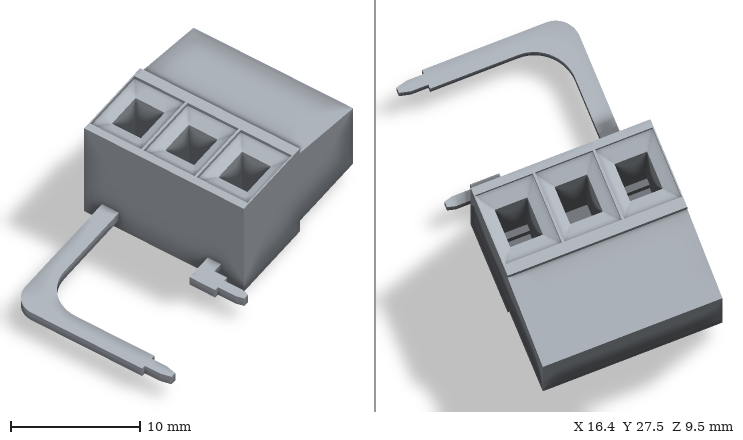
import cadquery as cq

housing_width = 15.0
housing_depth = 15.0
housing_height = 9.5
front_block_depth = 7.67
rear_underside = 1.2
rear_top_at_step = 8.96
rear_top_at_back = 7.54

entry_count = 3
entry_pitch = housing_width / entry_count
funnel_width = 4.78
funnel_front = 0.7
funnel_back = 6.75
rim_depth = 0.3
funnel_depth = 0.7
well_width = 2.72
well_front = 2.15
well_back = 5.4

pin_bottom = 1.0
pin_thickness = 0.85
pin_root = 0.55
shoulder_x = 14.02
tip_end_x = 16.4
tip_end_width = 0.5

tab_length = 0.55

leg_left = 1.68
leg_width = 1.6
total_length = 27.5
long_pin_reach = total_length - housing_depth
bar_width = 1.65
bend_outer_radius = 2.0
bend_inner_radius = 3.4
long_tip_width = 0.94
long_tip_taper = 0.94

hook_left = 11.6
hook_neck_width = 1.25
hook_reach = 2.5
hook_foot_width = 1.6
short_tip_width = 0.85
short_tip_taper = 0.7


def make_housing():
    """Extrude the stepped side profile across the full width."""
    profile = [
        (0, 0),
        (front_block_depth, 0),
        (front_block_depth, rear_underside),
        (housing_depth, rear_underside),
        (housing_depth, rear_top_at_back),
        (front_block_depth, rear_top_at_step),
        (front_block_depth, housing_height),
        (0, housing_height),
    ]
    return cq.Workplane("YZ").polyline(profile).close().extrude(housing_width)


def make_entry(center_x):
    """Material to remove for one wire entry: rim, funnel and well."""
    funnel_center_y = (funnel_front + funnel_back) / 2
    funnel_length = funnel_back - funnel_front
    well_center_y = (well_front + well_back) / 2
    well_length = well_back - well_front
    well_top = housing_height - funnel_depth
    rim_bottom = housing_height - rim_depth
    rim = (
        cq.Workplane("XY", origin=(center_x, funnel_center_y, rim_bottom))
        .rect(funnel_width, funnel_length)
        .extrude(rim_depth)
    )
    funnel = (
        cq.Workplane("XY", origin=(center_x, funnel_center_y, rim_bottom))
        .rect(funnel_width, funnel_length)
        .workplane(offset=rim_depth - funnel_depth)
        .center(0, well_center_y - funnel_center_y)
        .rect(well_width, well_length)
        .loft(ruled=True)
    )
    well = (
        cq.Workplane("XY", origin=(center_x, well_center_y, pin_bottom))
        .rect(well_width, well_length)
        .extrude(well_top - pin_bottom)
    )
    return rim.union(funnel).union(well)


def make_tab(center_x):
    """Contact tab on the floor of a well, against its front wall."""
    return (
        cq.Workplane("XY", origin=(center_x, well_front, pin_bottom))
        .rect(well_width, 2 * tab_length)
        .extrude(pin_thickness)
    )


def extrude_sheet(outline):
    """Flat sheet-metal plate at pin level with the given outline."""
    return cq.Workplane("XY", origin=(0, 0, pin_bottom)).polyline(outline).close().extrude(pin_thickness)


def make_tip(center_y, width, taper_length):
    """Solder tip pointing along +X, narrowing towards its end."""
    taper_x = tip_end_x - taper_length
    half_width = width / 2
    half_end = tip_end_width / 2
    outline = [
        (shoulder_x, center_y - half_width),
        (taper_x, center_y - half_width),
        (tip_end_x, center_y - half_end),
        (tip_end_x, center_y + half_end),
        (taper_x, center_y + half_width),
        (shoulder_x, center_y + half_width),
    ]
    return extrude_sheet(outline)


def make_pin_blade(left, leg_thickness, reach, foot_width):
    """Square-cornered L: a leg along -Y and a foot along +X."""
    leg_right = left + leg_thickness
    foot_back = foot_width - reach
    outline = [
        (left, pin_root),
        (left, -reach),
        (shoulder_x, -reach),
        (shoulder_x, foot_back),
        (leg_right, foot_back),
        (leg_right, pin_root),
    ]
    return extrude_sheet(outline)


def make_long_pin():
    """Long pin with its bend rounded on both sides."""
    blade = make_pin_blade(leg_left, leg_width, long_pin_reach, bar_width)
    bar_back = bar_width - long_pin_reach
    bend_mid_z = pin_bottom + pin_thickness / 2
    outer_corner = (leg_left, -long_pin_reach, bend_mid_z)
    inner_corner = (leg_left + leg_width, bar_back, bend_mid_z)
    blade = blade.edges(cq.selectors.NearestToPointSelector(outer_corner)).fillet(bend_outer_radius)
    blade = blade.edges(cq.selectors.NearestToPointSelector(inner_corner)).fillet(bend_inner_radius)
    tip_y = bar_width / 2 - long_pin_reach
    return blade.union(make_tip(tip_y, long_tip_width, long_tip_taper))


def make_short_pin():
    """Hook-shaped pin with square corners."""
    blade = make_pin_blade(hook_left, hook_neck_width, hook_reach, hook_foot_width)
    tip_y = hook_foot_width / 2 - hook_reach
    return blade.union(make_tip(tip_y, short_tip_width, short_tip_taper))


entry_centers = [(i + 0.5) * entry_pitch for i in range(entry_count)]

result = make_housing()
for center_x in entry_centers:
    result = result.cut(make_entry(center_x))
for center_x in (entry_centers[0], entry_centers[-1]):
    result = result.union(make_tab(center_x))
result = result.union(make_long_pin()).union(make_short_pin())